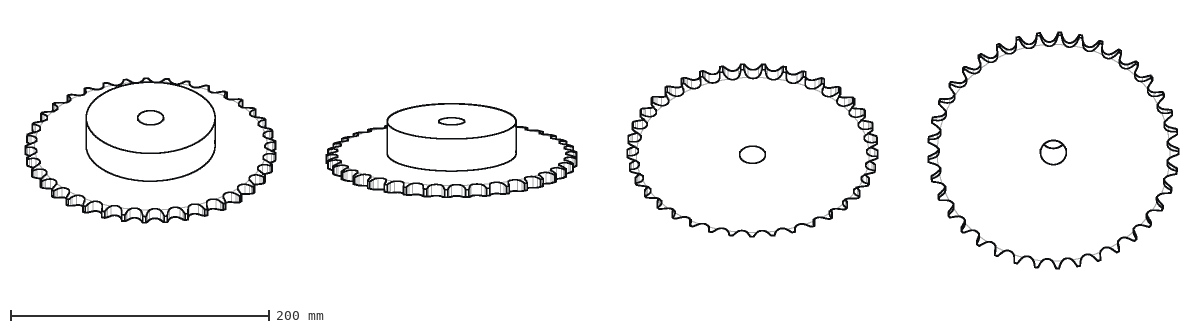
import cadquery as cq
import math

teeth = 37
overall_width = 194.1
overall_height = 35.0
plate_thickness = 9.1
hub_diameter = 100.0
bore_diameter = 20.0

pitch_diameter = 187.3
seat_diameter = 10.3
tip_width = 2.3
flank_length = 1.44
seat_end_angle = 35 + 60 / teeth
working_curve_angle = 18 - 56 / teeth
working_curve_ratio = 1.3

side_curve_radius = 16.0
flat_face_radius = 90.0

tooth_step = 360 / teeth
widest_tooth_angle = math.radians(tooth_step / 4)
half_tip_angle = math.asin(tip_width / overall_width)
tip_radius = overall_width / 2 / math.cos(widest_tooth_angle - half_tip_angle)


def point_at(centre, radius, degrees):
    """Point on a circle, at an angle counter-clockwise from +X."""
    angle = math.radians(degrees)
    return (centre[0] + radius * math.cos(angle), centre[1] + radius * math.sin(angle))


def mirrored(point):
    return (-point[0], point[1])


def gap_cutter():
    """Space between two teeth, centred on +Y.

    Each side runs from the roller seat through a concave working curve, a straight
    flank and a convex topping curve out to the tip corner, all tangent to each other.
    """
    seat_radius = seat_diameter / 2
    seat_centre = (0, pitch_diameter / 2)
    seat_bottom = (0, pitch_diameter / 2 - seat_radius)
    seat_end = point_at(seat_centre, seat_radius, -seat_end_angle)

    working_radius = working_curve_ratio * seat_diameter
    working_centre = point_at(seat_end, working_radius, 180 - seat_end_angle)
    flank_normal = working_curve_angle - seat_end_angle
    working_middle = point_at(working_centre, working_radius, (flank_normal - seat_end_angle) / 2)
    flank_start = point_at(working_centre, working_radius, flank_normal)
    flank_end = point_at(flank_start, flank_length, flank_normal + 90)

    corner = point_at((0, 0), tip_radius, 90 - tooth_step / 2 + math.degrees(half_tip_angle))
    chord = math.dist(flank_end, corner)
    chord_angle = math.degrees(math.atan2(corner[1] - flank_end[1], corner[0] - flank_end[0]))
    half_turn = chord_angle - (flank_normal + 90)
    half_chord = chord / 2 / math.cos(math.radians(half_turn / 2))
    topping_middle = point_at(flank_end, half_chord, chord_angle - half_turn / 2)

    clear_of_tip = tip_radius + seat_radius
    return (
        cq.Workplane("XY")
        .moveTo(corner[0], clear_of_tip)
        .lineTo(*corner)
        .threePointArc(topping_middle, flank_end)
        .lineTo(*flank_start)
        .threePointArc(working_middle, seat_end)
        .threePointArc(seat_bottom, mirrored(seat_end))
        .threePointArc(mirrored(working_middle), mirrored(flank_start))
        .lineTo(*mirrored(flank_end))
        .threePointArc(mirrored(topping_middle), mirrored(corner))
        .lineTo(-corner[0], clear_of_tip)
        .close()
        .extrude(plate_thickness)
    )


def side_drop(radius):
    """Depth of the rounded tooth side below the flat face at a given radius."""
    run = radius - flat_face_radius
    return side_curve_radius - math.sqrt(side_curve_radius**2 - run**2)


def blank_plate():
    """Round plate, its rim rounded on both faces."""
    middle_radius = (flat_face_radius + tip_radius) / 2
    middle_drop = side_drop(middle_radius)
    tip_drop = side_drop(tip_radius)
    return (
        cq.Workplane("XZ")
        .lineTo(flat_face_radius, 0)
        .threePointArc((middle_radius, middle_drop), (tip_radius, tip_drop))
        .lineTo(tip_radius, plate_thickness - tip_drop)
        .threePointArc(
            (middle_radius, plate_thickness - middle_drop),
            (flat_face_radius, plate_thickness),
        )
        .lineTo(0, plate_thickness)
        .close()
        .revolve(360, (0, 0), (0, 1))
    )


def toothed_plate():
    gap = gap_cutter().val()
    gaps = [gap.rotate(cq.Vector(0, 0, 0), cq.Vector(0, 0, 1), i * tooth_step) for i in range(teeth)]
    return blank_plate().cut(cq.Workplane(cq.Compound.makeCompound(gaps)))


hub = cq.Workplane("XY").circle(hub_diameter / 2).extrude(overall_height)
bore = cq.Workplane("XY").circle(bore_diameter / 2).extrude(overall_height)
result = toothed_plate().union(hub).cut(bore)